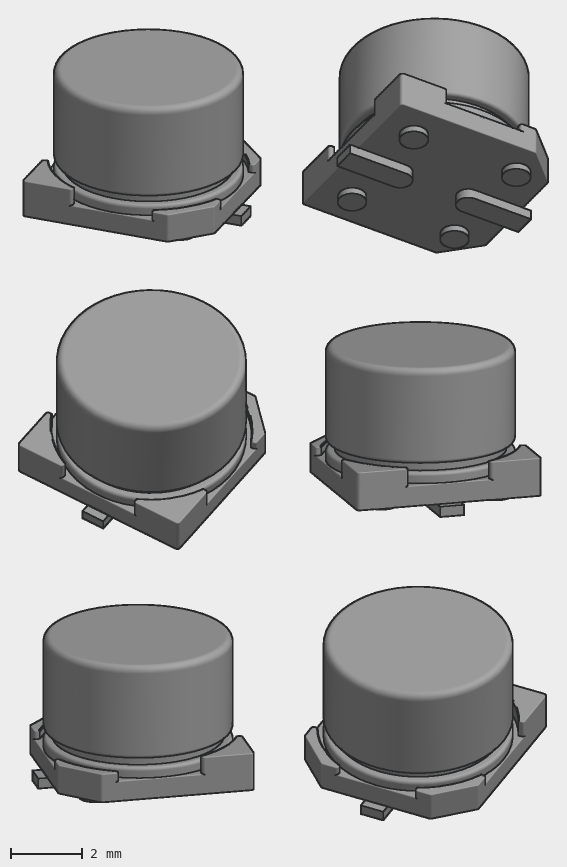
import cadquery as cq

base_width = 5.4
base_bottom = 0.3
base_corner_cut = 1.005
tall_corner_top = 1.405
low_corner_top = 1.15
notch_floor = 0.9
notch_width = 2.395
pocket_diameter = 5.6
corner_round = 0.1
notch_round = 0.08
edge_round = 0.03

can_diameter = 5.3
neck_diameter = 4.8
rim_top = 1.21
can_bottom = 1.47
can_top = 4.2
can_top_round = 0.2
groove_round = 0.1

lead_span = 5.9
lead_width = 0.695
lead_inner_gap = 1.52
foot_diameter = 0.8
foot_spacing = 3.34
foot_bottom = 0.1

tolerance = 0.0005


def disc(diameter, bottom, top):
    """Upright cylinder on the part axis."""
    return cq.Workplane("XY").workplane(offset=bottom).circle(diameter / 2).extrude(top - bottom)


def block(x_size, y_size, bottom, top):
    """Upright box centred on the part axis."""
    return cq.Workplane("XY").workplane(offset=bottom).rect(x_size, y_size).extrude(top - bottom)


def distance_out(edge):
    """Larger of the distances of an edge from the XZ and YZ planes."""
    return max(abs(edge.Center().x), abs(edge.Center().y))


def on_notch_side(edge):
    """True for an upright edge where a notch side meets an outer face."""
    nearest = min(abs(edge.Center().x), abs(edge.Center().y))
    at_outer_face = distance_out(edge) > base_width / 2 - tolerance
    return at_outer_face and abs(nearest - notch_width / 2) < tolerance


def on_notch_sill(edge):
    """True for an edge where a notch floor meets an outer face."""
    at_outer_face = distance_out(edge) > base_width / 2 - tolerance
    return at_outer_face and abs(edge.Center().z - notch_floor) < tolerance


def make_base():
    """Square plate with four raised corners; the two +X corners are cut off and lower."""
    half = base_width / 2
    base = block(base_width, base_width, base_bottom, tall_corner_top)
    base = base.edges("|Z and >X").chamfer(base_corner_cut)
    base = base.edges("|Z").fillet(corner_round)

    low_side = block(half, base_width, low_corner_top, tall_corner_top).translate((half / 2, 0, 0))
    base = base.cut(low_side)

    base = base.cut(block(base_width, notch_width, notch_floor, tall_corner_top))
    base = base.cut(block(notch_width, base_width, notch_floor, tall_corner_top))
    base = base.cut(disc(pocket_diameter, notch_floor, tall_corner_top))

    base = base.edges("|Z").filter(on_notch_side).fillet(notch_round)

    for level in (tall_corner_top, low_corner_top):
        rims = base.faces("|Z").filter(lambda face: abs(face.Center().z - level) < tolerance).edges()
        base = rims.fillet(edge_round)

    base = base.edges("|X or |Y").filter(on_notch_sill).fillet(edge_round)
    return base.faces("<Z").edges().fillet(edge_round)


def make_can():
    """Round can on a narrower neck, above a rounded rim that sits in the base pocket."""
    rim = disc(can_diameter, notch_floor, rim_top).faces(">Z").edges().fillet(groove_round)
    neck = disc(neck_diameter, notch_floor, can_bottom)
    body = disc(can_diameter, can_bottom, can_top)
    body = body.faces("<Z").edges().fillet(groove_round)
    body = body.faces(">Z").edges().fillet(can_top_round)
    return neck.union(rim).union(body)


def make_leads():
    """Flat bar along X, parted in the middle, each inner end a full round."""
    end_radius = lead_width / 2
    round_centre = lead_inner_gap / 2 + end_radius
    length = lead_span / 2 - round_centre
    lead = (
        cq.Workplane("XY")
        .moveTo(round_centre + length / 2, 0)
        .rect(length, lead_width)
        .extrude(base_bottom)
        .union(cq.Workplane("XY").moveTo(round_centre, 0).circle(end_radius).extrude(base_bottom))
    )
    return lead.union(lead.mirror("YZ"))


def make_feet():
    """Four round standoff feet under the base."""
    return (
        cq.Workplane("XY")
        .workplane(offset=foot_bottom)
        .rect(foot_spacing, foot_spacing, forConstruction=True)
        .vertices()
        .circle(foot_diameter / 2)
        .extrude(base_bottom - foot_bottom)
    )


result = make_base().union(make_can()).union(make_leads()).union(make_feet())